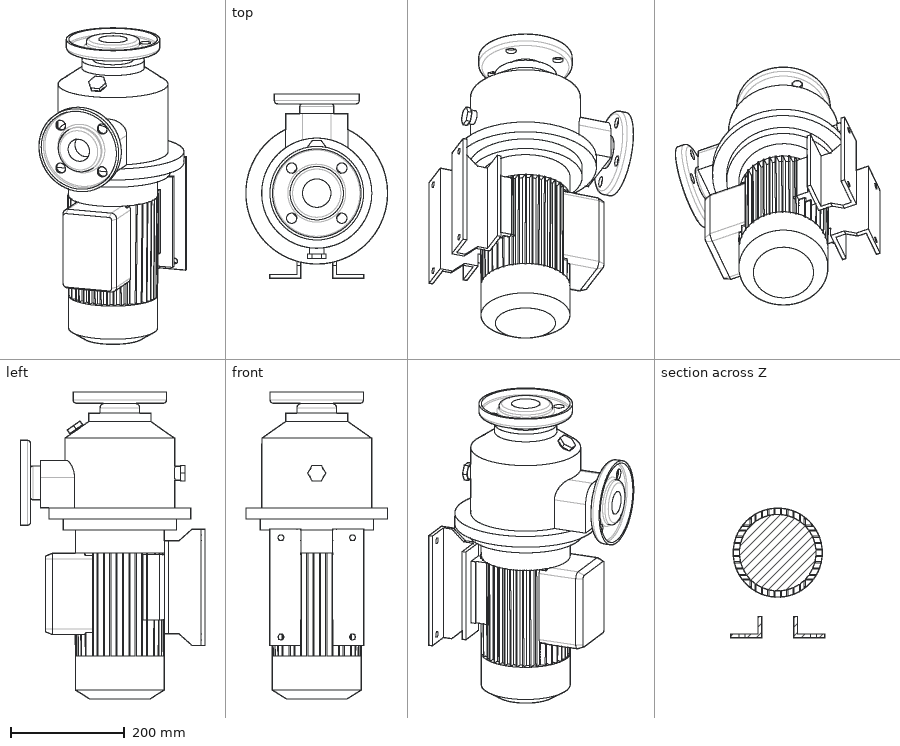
import cadquery as cq
import math

BELL_TAPER_HEIGHT = 16.0
FIN_BOTTOM = 76.0
FIN_TOP = 257.0
RING_BOTTOM = 297.5
JOINT_LEVEL = 317.0
CASING_BOTTOM = 337.0
SHOULDER_LEVEL = 459.5
CONE_TOP = 489.0
COLLAR_TOP = 503.5
INLET_FACE = 541.0

MOTOR_RADIUS = 78.5
BELL_END_RADIUS = 53.0
RING_RADIUS = 100.0
BARREL_CORE_RADIUS = 67.5
FIN_TOP_RADIUS = 80.0
FIN_BOTTOM_RADIUS = 78.5
FIN_THICKNESS = 2.0
FIN_PITCH = 11.2
FIN_PAIRS = 4
OUTER_FIN_OFFSET = 47.5
OUTER_FIN_SHORTENING = 2.0
OUTER_FIN_FACE = OUTER_FIN_OFFSET + FIN_THICKNESS / 2

BOX_HALF_WIDTH = 50.5
BOX_FACE_Y = 131.0
BOX_BOTTOM = 113.5
BOX_TOP = 257.0
BOX_EDGE_RADIUS = 10.0
BOX_CHAMFER_DEPTH = 12.0
BOX_CHAMFER_INSET = 5.0

FOOT_FACE_Y = -150.0
FOOT_THICKNESS = 7.0
FOOT_INNER_X = 28.0
FOOT_OUTER_X = 83.0
FOOT_CENTRE_Z = 197.0
FOOT_HEIGHT = 205.0
FOOT_SEAT_Y = -MOTOR_RADIUS
SEAT_HEIGHT = 164.0
WEB_SLOPE_START_Y = -104.0
WEB_SLOPE_END_Y = -127.0
PAD_HEIGHT = 115.0
PAD_OUTER_X = 57.0
PAD_ROOT_Y = -41.0
PAD_LIP_Y = -70.0
PAD_LIP_OUTER_X = 60.0
FOOT_HOLE_X = 63.0
FOOT_HOLE_SPACING = 175.0
FOOT_HOLE_DIAMETER = 10.0

FLANGE_RADIUS = 125.0
CASING_RADIUS = 97.0
COLLAR_RADIUS = 55.0
OUTLET_CENTRE_Z = 381.0
OUTLET_FACE_Y = 175.0
OUTLET_BLOCK_HALF_WIDTH = 55.0
OUTLET_BLOCK_END_Y = 140.0
OUTLET_BLOCK_TOP = 420.5
OUTLET_BLOCK_RADIUS = 30.0

RIM_WALL = 4.5
RIM_EDGE_RADIUS = 6.0
RECESS_DEPTH = 13.0
RECESS_CORNER_RADIUS = 2.0
HUB_ROOT_RADIUS = 4.0
HUB_EDGE_RADIUS = 4.5
BOLT_HOLE_DIAMETER = 18.0
BOLT_HOLES = 4

PLUG_STEM_RADIUS = 12.5
PLUG_ACROSS_CORNERS = 32.0
PLUG_HEAD_HEIGHT = 8.0
PLUG_ROOT_DEPTH = 10.0
DRAIN_CENTRE_Z = 398.0
DRAIN_STEM = 10.0
VENT_STEM = 1.5


def box_between(x0, x1, y0, y1, z0, z1):
    """Box given by its opposite corners."""
    return cq.Workplane("XY").box(x1 - x0, y1 - y0, z1 - z0, centered=False).translate((x0, y0, z0))


def frustum(bottom_radius, top_radius, bottom, top):
    """Cone or cylinder standing on the pump axis."""
    profile = [(0, bottom), (bottom_radius, bottom), (top_radius, top), (0, top)]
    return cq.Workplane("XZ").polyline(profile).close().revolve(360, (0, 0), (0, 1))



def fin_plates(offset):
    """Four thin plates across the barrel: two along X and two along Y, at +-offset from the axis."""
    half = FIN_THICKNESS / 2
    plates = cq.Workplane("XY")
    for position in (-offset, offset):
        along_x = box_between(
            -FIN_TOP_RADIUS, FIN_TOP_RADIUS, position - half, position + half, FIN_BOTTOM, FIN_TOP
        )
        plates = plates.union(along_x)
        plates = plates.union(along_x.rotate((0, 0, 0), (0, 0, 1), 90))
    return plates


def cooling_fins():
    """Barrel core with parallel fins on its four sides, tapering slightly towards the bottom."""
    barrel = frustum(BARREL_CORE_RADIUS, BARREL_CORE_RADIUS, FIN_BOTTOM, FIN_TOP)
    envelope = frustum(FIN_BOTTOM_RADIUS, FIN_TOP_RADIUS, FIN_BOTTOM, FIN_TOP)
    outer_envelope = frustum(
        FIN_BOTTOM_RADIUS - OUTER_FIN_SHORTENING, FIN_TOP_RADIUS - OUTER_FIN_SHORTENING, FIN_BOTTOM, FIN_TOP
    )
    for index in range(FIN_PAIRS):
        offset = (index + 0.5) * FIN_PITCH
        barrel = barrel.union(fin_plates(offset).intersect(envelope))
    return barrel.union(fin_plates(OUTER_FIN_OFFSET).intersect(outer_envelope))


def terminal_box():
    """Rounded box on the +Y side with a bevelled lid."""
    width = 2 * BOX_HALF_WIDTH
    height = BOX_TOP - BOX_BOTTOM
    centre_z = (BOX_TOP + BOX_BOTTOM) / 2
    lid_y = BOX_FACE_Y - BOX_CHAMFER_DEPTH
    box = box_between(-BOX_HALF_WIDTH, BOX_HALF_WIDTH, OUTER_FIN_FACE, lid_y, BOX_BOTTOM, BOX_TOP)
    box = box.edges("|Y").fillet(BOX_EDGE_RADIUS)
    inset_radius = BOX_EDGE_RADIUS - BOX_CHAMFER_INSET
    base = cq.Sketch().rect(width, height).vertices().fillet(BOX_EDGE_RADIUS)
    face = cq.Sketch().rect(width - 2 * BOX_CHAMFER_INSET, height - 2 * BOX_CHAMFER_INSET)
    face = face.vertices().fillet(inset_radius)
    lid = (
        cq.Workplane("XZ", origin=(0, lid_y, centre_z))
        .placeSketch(base, face.moved(cq.Location(cq.Vector(0, 0, -BOX_CHAMFER_DEPTH))))
        .loft()
    )
    return box.union(lid)


def foot(side):
    """Channel-shaped foot with its mounting pad; side is -1 or 1 along X."""
    web_inner = FOOT_FACE_Y + FOOT_THICKNESS
    low_half = SEAT_HEIGHT / 2
    high_half = FOOT_HEIGHT / 2
    web_outline = [
        (FOOT_SEAT_Y, -low_half),
        (WEB_SLOPE_START_Y, -low_half),
        (WEB_SLOPE_END_Y, -high_half),
        (FOOT_FACE_Y, -high_half),
        (FOOT_FACE_Y, high_half),
        (WEB_SLOPE_END_Y, high_half),
        (WEB_SLOPE_START_Y, low_half),
        (FOOT_SEAT_Y, low_half),
    ]
    web = cq.Workplane("YZ", origin=(FOOT_INNER_X, 0, 0)).polyline(web_outline).close()
    web = web.extrude(FOOT_THICKNESS)
    sole = box_between(FOOT_INNER_X, FOOT_OUTER_X, FOOT_FACE_Y, web_inner, -high_half, high_half)
    holes = (
        cq.Workplane("XZ", origin=(0, web_inner, 0))
        .pushPoints([(FOOT_HOLE_X, -FOOT_HOLE_SPACING / 2), (FOOT_HOLE_X, FOOT_HOLE_SPACING / 2)])
        .circle(FOOT_HOLE_DIAMETER / 2)
        .extrude(FOOT_THICKNESS)
    )
    seat = box_between(
        FOOT_INNER_X, FOOT_OUTER_X, FOOT_SEAT_Y - FOOT_THICKNESS, FOOT_SEAT_Y, -low_half, low_half
    )
    pad_half = PAD_HEIGHT / 2
    pad = box_between(FOOT_INNER_X, PAD_OUTER_X, FOOT_SEAT_Y, PAD_ROOT_Y, -pad_half, pad_half)
    lip = box_between(FOOT_INNER_X, PAD_LIP_OUTER_X, FOOT_SEAT_Y, PAD_LIP_Y, -pad_half, pad_half)
    shape = web.union(sole).cut(holes).union(seat).union(pad).union(lip)
    if side < 0:
        shape = shape.mirror("YZ")
    return shape.translate((0, 0, FOOT_CENTRE_Z))


def build_motor():
    motor = frustum(BELL_END_RADIUS, MOTOR_RADIUS, 0, BELL_TAPER_HEIGHT)
    motor = motor.union(frustum(MOTOR_RADIUS, MOTOR_RADIUS, BELL_TAPER_HEIGHT, FIN_BOTTOM))
    motor = motor.union(cooling_fins())
    motor = motor.union(frustum(MOTOR_RADIUS, MOTOR_RADIUS, FIN_TOP, RING_BOTTOM))
    motor = motor.union(frustum(RING_RADIUS, RING_RADIUS, RING_BOTTOM, JOINT_LEVEL))
    motor = motor.union(terminal_box())
    for side in (-1, 1):
        motor = motor.union(foot(side))
    return motor



def pipe_flange(rim_radius, rim_height, hub_radius, bolt_circle, neck_radius, neck_edge, bore_radius, length):
    """Flange facing +Z at z = 0, on a neck that ends at z = -length and a bore of the same depth."""
    back = -rim_height
    floor = -RECESS_DEPTH
    wall_radius = rim_radius - RIM_WALL
    diagonal = math.sqrt(0.5)

    def rounded(radius):
        """Distance from a corner of a square to the middle of its quarter arc."""
        return radius * (1 - diagonal)

    neck_bend = rounded(neck_edge)
    rim_bend = rounded(RIM_EDGE_RADIUS)
    recess_bend = rounded(RECESS_CORNER_RADIUS)
    root_bend = rounded(HUB_ROOT_RADIUS)
    hub_bend = rounded(HUB_EDGE_RADIUS)
    body = (
        cq.Workplane("XZ")
        .moveTo(bore_radius, -length)
        .lineTo(neck_radius, -length)
        .lineTo(neck_radius, back - neck_edge)
        .threePointArc((neck_radius - neck_bend, back - neck_bend), (neck_radius - neck_edge, back))
        .lineTo(rim_radius - RIM_EDGE_RADIUS, back)
        .threePointArc((rim_radius - rim_bend, back + rim_bend), (rim_radius, back + RIM_EDGE_RADIUS))
        .lineTo(rim_radius, 0)
        .lineTo(wall_radius, 0)
        .lineTo(wall_radius, floor + RECESS_CORNER_RADIUS)
        .threePointArc(
            (wall_radius - recess_bend, floor + recess_bend), (wall_radius - RECESS_CORNER_RADIUS, floor)
        )
        .lineTo(hub_radius + HUB_ROOT_RADIUS, floor)
        .threePointArc((hub_radius + root_bend, floor + root_bend), (hub_radius, floor + HUB_ROOT_RADIUS))
        .lineTo(hub_radius, -HUB_EDGE_RADIUS)
        .threePointArc((hub_radius - hub_bend, -hub_bend), (hub_radius - HUB_EDGE_RADIUS, 0))
        .lineTo(bore_radius, 0)
        .close()
        .revolve(360, (0, 0), (0, 1))
    )
    holes = (
        cq.Workplane("XY", origin=(0, 0, back))
        .polarArray(bolt_circle / 2, 45, 360, BOLT_HOLES)
        .circle(BOLT_HOLE_DIAMETER / 2)
        .extrude(rim_height)
    )
    return body.cut(holes)


def plug(stem_length):
    """Hexagon plug along +Z, seated at z = 0, with two head corners on the X axis."""
    stem = cq.Workplane("XY", origin=(0, 0, -PLUG_ROOT_DEPTH)).circle(PLUG_STEM_RADIUS)
    stem = stem.extrude(PLUG_ROOT_DEPTH + stem_length)
    head = cq.Workplane("XY", origin=(0, 0, stem_length)).polygon(6, PLUG_ACROSS_CORNERS)
    return stem.union(head.extrude(PLUG_HEAD_HEIGHT))


def outlet_block():
    """Block with a rounded top that carries the outlet out of the casing."""
    block = box_between(
        -OUTLET_BLOCK_HALF_WIDTH, OUTLET_BLOCK_HALF_WIDTH,
        0, OUTLET_BLOCK_END_Y,
        CASING_BOTTOM, OUTLET_BLOCK_TOP,
    )
    return block.edges("|Y and >Z").fillet(OUTLET_BLOCK_RADIUS)


def build_pump():
    pump = frustum(FLANGE_RADIUS, FLANGE_RADIUS, JOINT_LEVEL, CASING_BOTTOM)
    pump = pump.union(frustum(CASING_RADIUS, CASING_RADIUS, CASING_BOTTOM, SHOULDER_LEVEL))
    pump = pump.union(frustum(CASING_RADIUS, COLLAR_RADIUS, SHOULDER_LEVEL, CONE_TOP))
    pump = pump.union(frustum(COLLAR_RADIUS, COLLAR_RADIUS, CONE_TOP, COLLAR_TOP))
    pump = pump.union(outlet_block())

    inlet = pipe_flange(
        rim_radius=82.5, rim_height=20.0, hub_radius=47.0, bolt_circle=125.0, neck_radius=35.0, neck_edge=8.0,
        bore_radius=25.0, length=INLET_FACE - COLLAR_TOP,
    )
    pump = pump.union(inlet.translate((0, 0, INLET_FACE)))

    outlet = pipe_flange(
        rim_radius=75.0, rim_height=18.0, hub_radius=40.0, bolt_circle=110.0, neck_radius=30.0, neck_edge=4.0,
        bore_radius=20.0, length=OUTLET_FACE_Y - OUTLET_BLOCK_END_Y,
    )
    outlet = outlet.rotate((0, 0, 0), (1, 0, 0), -90)
    pump = pump.union(outlet.translate((0, OUTLET_FACE_Y, OUTLET_CENTRE_Z)))

    drain = plug(DRAIN_STEM).rotate((0, 0, 0), (1, 0, 0), 90)
    pump = pump.union(drain.translate((0, -CASING_RADIUS, DRAIN_CENTRE_Z)))

    cone_tilt = math.degrees(math.atan2(CONE_TOP - SHOULDER_LEVEL, CASING_RADIUS - COLLAR_RADIUS))
    vent = plug(VENT_STEM).rotate((0, 0, 0), (1, 0, 0), -cone_tilt)
    vent_y = (CASING_RADIUS + COLLAR_RADIUS) / 2
    vent_z = (SHOULDER_LEVEL + CONE_TOP) / 2
    return pump.union(vent.translate((0, vent_y, vent_z)))


motor = build_motor()
pump = build_pump()
result = cq.Compound.makeCompound([motor.val(), pump.val()])